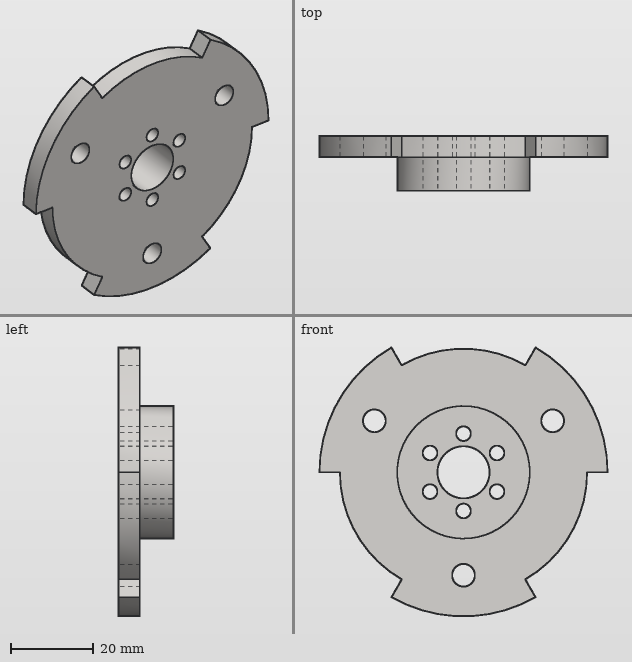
import cadquery as cq
import math

lug_radius = 35.0
disc_radius = 30.0
flange_thickness = 5.2
lug_count = 3
lug_span = 60.0
first_lug_angle = 30.0

total_depth = 13.4
hub_radius = 16.1
bore_radius = 6.3

flange_hole_radius = 2.7
flange_hole_circle = 25.0
hub_hole_count = 6
hub_hole_radius = 1.75
hub_hole_circle = 9.4


def polar(radius, angle):
    """Point in the flange plane at an angle in degrees from +X."""
    return (radius * math.cos(math.radians(angle)), radius * math.sin(math.radians(angle)))


def front_plane():
    """XZ plane whose positive extrusion runs toward -Y."""
    return cq.Workplane("XZ")


def lug(center_angle):
    """Sector from the axis out to the lug radius."""
    start = center_angle - lug_span / 2
    end = center_angle + lug_span / 2
    return (
        front_plane()
        .moveTo(0, 0)
        .lineTo(*polar(lug_radius, start))
        .threePointArc(polar(lug_radius, center_angle), polar(lug_radius, end))
        .close()
        .extrude(flange_thickness)
    )


def hole_ring(count, circle_radius, hole_radius):
    """Evenly spaced through holes, starting at the first lug's center."""
    step = 360 / count
    centers = [polar(circle_radius, first_lug_angle + i * step) for i in range(count)]
    return front_plane().pushPoints(centers).circle(hole_radius).extrude(total_depth)


body = front_plane().circle(disc_radius).extrude(flange_thickness)
for i in range(lug_count):
    body = body.union(lug(first_lug_angle + i * 360 / lug_count))
body = body.union(front_plane().circle(hub_radius).extrude(total_depth))

bore = front_plane().circle(bore_radius).extrude(total_depth)
flange_holes = hole_ring(lug_count, flange_hole_circle, flange_hole_radius)
hub_holes = hole_ring(hub_hole_count, hub_hole_circle, hub_hole_radius)

result = body.cut(bore).cut(flange_holes).cut(hub_holes)